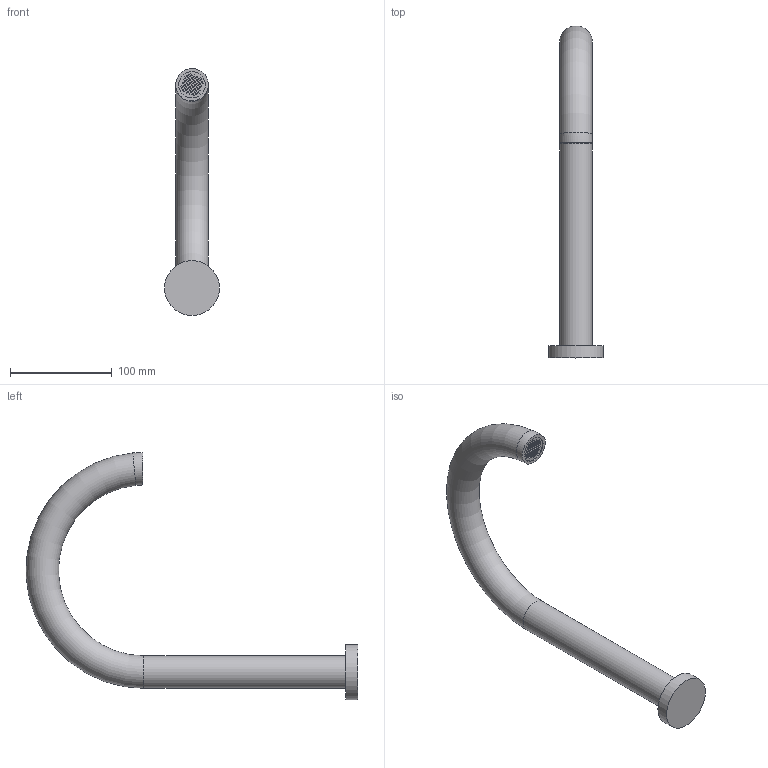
import cadquery as cq
import math

flange_diameter = 54.0
flange_thickness = 12.0

tube_radius = 16.0
tube_length = 198.46
bend_radius = 100.0
bend_start_y = flange_thickness + tube_length

outlet_setback = 1.2
outlet_y = bend_start_y + outlet_setback
outlet_z = 2 * bend_radius
bend_angle = 174.6
collar_angle = 180 - bend_angle

aerator_radius = 13.0
aerator_recess = 1.0
aerator_thickness = 3.0
aerator_y = outlet_y + aerator_recess
mesh_radius = 10.4
mesh_pitch = 2.5
mesh_hole = mesh_pitch / 2
mesh_turn = 23.0


def rod(radius, start_y, length, axis_z=0):
    """Round bar along +Y, starting at start_y."""
    return cq.Workplane("XZ", origin=(0, start_y, axis_z)).circle(radius).extrude(-length)


def bend_segment(start_angle, sweep_angle):
    """Part of the return bend, with angles counted from the end of the straight run."""
    pivot = (0, bend_start_y, bend_radius)
    segment = (
        cq.Workplane("XZ", origin=(0, bend_start_y, 0))
        .circle(tube_radius)
        .revolve(sweep_angle, (0, bend_radius, 0), (1, bend_radius, 0))
    )
    return segment.rotate(pivot, (1, bend_start_y, bend_radius), start_angle)


def mesh_points():
    """Square grid of hole centres that lie inside the mesh circle."""
    reach = math.ceil(mesh_radius / mesh_pitch)
    steps = range(-reach, reach + 1)
    grid = [(column * mesh_pitch, row * mesh_pitch) for column in steps for row in steps]
    return [point for point in grid if math.hypot(*point) <= mesh_radius]


def make_collar():
    """Outlet collar with a flat face and a round seat for the aerator."""
    segment = bend_segment(bend_angle, collar_angle)
    end_trim = rod(2 * tube_radius, bend_start_y, outlet_setback, outlet_z)
    seat = rod(aerator_radius, outlet_y, aerator_recess + aerator_thickness, outlet_z)
    return segment.cut(end_trim).cut(seat)


def make_aerator():
    """Perforated disc that fills the back of the collar seat."""
    disc = rod(aerator_radius, aerator_y, aerator_thickness, outlet_z)
    holes = (
        cq.Workplane("XZ", origin=(0, aerator_y, outlet_z))
        .transformed(rotate=(0, 0, mesh_turn))
        .pushPoints(mesh_points())
        .rect(mesh_hole, mesh_hole)
        .extrude(-aerator_thickness)
    )
    return disc.cut(holes)


flange = rod(flange_diameter / 2, 0, flange_thickness)
tube = rod(tube_radius, flange_thickness, tube_length)
bend = bend_segment(0, bend_angle)
collar = make_collar()
aerator = make_aerator()

result = cq.Compound.makeCompound(
    [flange.val(), tube.val(), bend.val(), collar.val(), aerator.val()]
)